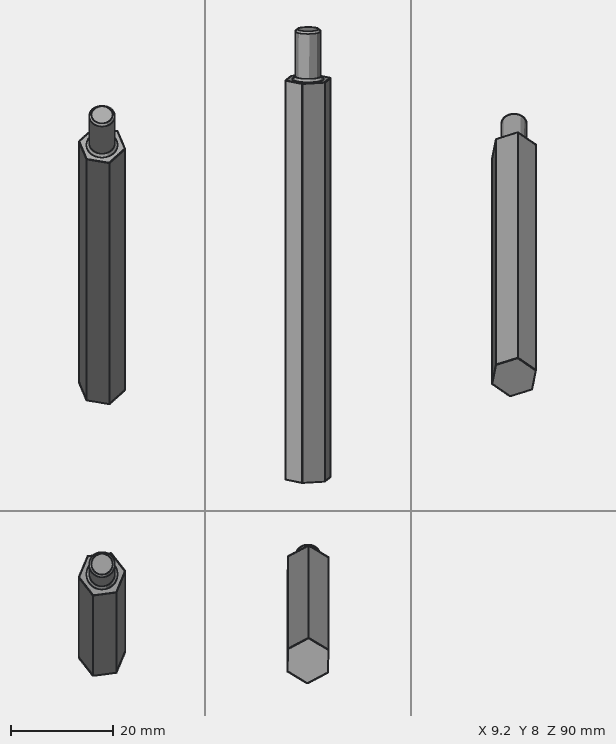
import cadquery as cq
import math

total_length = 90.0
stud_length = 10.0
across_flats = 8.0
across_corners = 9.2
stud_diameter = 5.0
tip_chamfer = 0.45
root_flare = 0.5
end_chamfer = 0.1

body_length = total_length - stud_length
stud_radius = stud_diameter / 2


def hex_body():
    """Hexagonal bar with its corners on the X axis and its long edges and ends eased."""
    sharp_corners = across_flats / math.cos(math.pi / 6)
    bar = cq.Workplane("XY").polygon(6, sharp_corners).extrude(body_length)
    envelope = cq.Workplane("XY").circle(across_corners / 2).extrude(body_length)
    return bar.intersect(envelope).faces("<Z or >Z").chamfer(end_chamfer)


def stud():
    """Plain round stud with a chamfered tip and a conical flare at its root."""
    profile = (
        cq.Workplane("XZ")
        .moveTo(0, 0)
        .lineTo(stud_radius + root_flare, 0)
        .lineTo(stud_radius + root_flare, body_length)
        .lineTo(stud_radius, body_length + root_flare)
        .lineTo(stud_radius, total_length - tip_chamfer)
        .lineTo(stud_radius - tip_chamfer, total_length)
        .lineTo(0, total_length)
        .close()
    )
    return profile.revolve(360, (0, 0, 0), (0, 1, 0))


result = hex_body().union(stud())